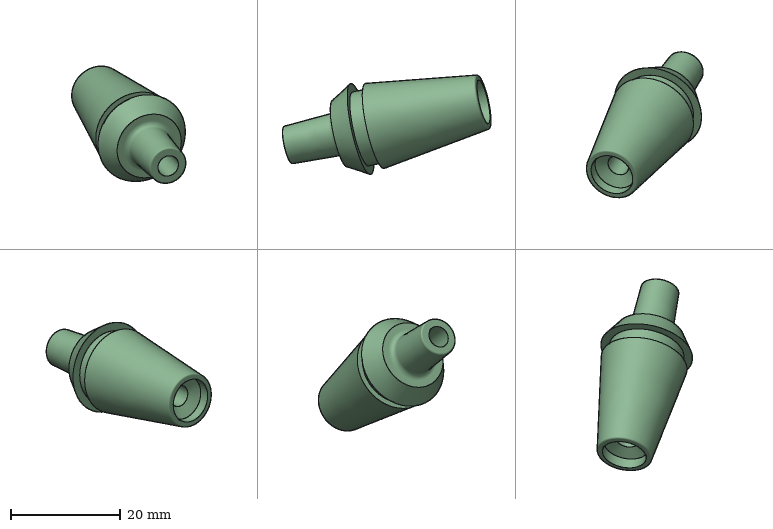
import cadquery as cq
import math

total_length = 37.5
body_end = 20.8
groove_end = 23.5
collar_end = 27.45

body_small_radius = 5.08
body_large_radius = 8.0
groove_radius = 6.95
collar_large_radius = 8.54
collar_small_radius = 6.27
stem_base_radius = 4.0
stem_tip_radius = 3.53

end_round = 0.3
stem_root_fillet = 1.0

recess_radius = 4.08
recess_depth = 2.0
hole_radius = 2.0
seat_half_angle = 60
seat_length = (recess_radius - hole_radius) / math.tan(math.radians(seat_half_angle))


def revolve_about_x(points):
    """Revolve a closed (x, radius) outline around the X axis."""
    outline = cq.Workplane("XY").polyline(points).close()
    return outline.revolve(360, (0, 0, 0), (1, 0, 0))


def make_outer_body():
    """Tapered body, groove, flared collar and tapered stem."""
    body = revolve_about_x([
        (0, 0),
        (0, body_small_radius),
        (body_end, body_large_radius),
        (body_end, groove_radius),
        (groove_end, groove_radius),
        (groove_end, collar_large_radius),
        (collar_end, collar_small_radius),
        (collar_end, stem_base_radius),
        (total_length, stem_tip_radius),
        (total_length, 0),
    ])
    body = body.faces("<X or >X").edges().fillet(end_round)
    near_axis = cq.selectors.NearestToPointSelector((collar_end, 0, 0))
    shoulder = body.faces(near_axis)
    inner_circle = cq.selectors.RadiusNthSelector(0)
    return shoulder.edges(inner_circle).fillet(stem_root_fillet)


def make_bore():
    """Stepped cavity: cylindrical recess, conical seat and through hole."""
    seat_end = recess_depth + seat_length
    return revolve_about_x([
        (0, 0),
        (0, recess_radius),
        (recess_depth, recess_radius),
        (seat_end, hole_radius),
        (total_length, hole_radius),
        (total_length, 0),
    ])


result = make_outer_body().cut(make_bore())